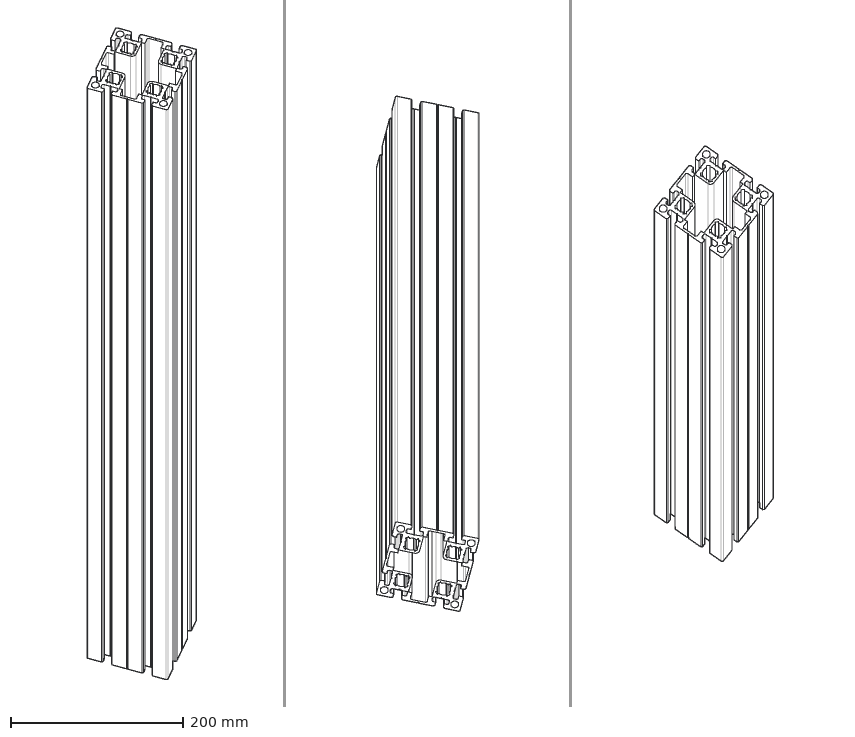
import cadquery as cq

side = 100.0
length = 1000.0
half = side / 2
corner_radius = 2.0

slot_offset = 25.0
slot_opening = 10.0
slot_width = 20.0
slot_depth = 12.0
lip_thickness = 6.0
lip_edge_chamfer = 1.5
slot_corner_radius = 2.0

side_mark_width = 2.0
side_mark_depth = 1.0
floor_mark_width = 1.0
floor_mark_depth = 1.0

bore_diameter = 16.0
relief_width = 4.0
relief_length = 20.0

cavity_half_width = 14.0
arm_half_width = 10.0
outer_wall = 3.0
core_edge_radius = 5.0
arm_end_radius = 2.0

channel_diameter = 9.0
channel_offset = 42.0

slot_floor = half - slot_depth


def prism(outline):
    return outline.extrude(length)


def polygon(points):
    return prism(cq.Workplane("XY").polyline(points).close())


def block(x_size, y_size):
    return prism(cq.Workplane("XY").rect(x_size, y_size))


def on_all_sides(cutter):
    """Repeat a cutter around the axis of the profile, once for each side."""
    ring = cutter
    for quarter in range(1, 4):
        ring = ring.union(cutter.rotate((0, 0, 0), (0, 0, 1), 90 * quarter))
    return ring


def v_groove(x, y, width, depth):
    """V groove running along Z, sunk from a surface at height y."""
    return polygon([(x - width / 2, y), (x, y - depth), (x + width / 2, y)])


def t_slot(x):
    roof = half - lip_thickness
    mouth = slot_opening / 2
    flare = mouth + lip_edge_chamfer
    undercut = block(slot_width, roof - slot_floor).edges("|Z").fillet(slot_corner_radius)
    undercut = undercut.translate((x, (roof + slot_floor) / 2, 0))
    right = [(flare, half), (mouth, half - lip_edge_chamfer), (mouth, slot_floor + slot_corner_radius)]
    left = [(-dx, y) for dx, y in reversed(right)]
    opening = polygon([(x + dx, y) for dx, y in right + left])
    return undercut.union(opening).union(v_groove(x, slot_floor, floor_mark_width, floor_mark_depth))


def central_cavity():
    """Cross between the four cores, with narrower ends that reach behind the slot webs."""
    wide = 2 * cavity_half_width
    cross = block(wide, 2 * slot_floor).union(block(2 * slot_floor, wide))
    near_axis = cq.selectors.BoxSelector((-wide, -wide, 0), (wide, wide, length))
    cross = cross.edges("|Z").edges(near_axis).fillet(core_edge_radius)
    end = block(2 * arm_half_width, 2 * (half - outer_wall)).edges("|Z").fillet(arm_end_radius)
    return cross.union(end).union(end.rotate((0, 0, 0), (0, 0, 1), 90))


def screw_bore():
    bore = prism(cq.Workplane("XY").circle(bore_diameter / 2))
    for angle in (45, 135):
        relief = block(relief_length, relief_width).rotate((0, 0, 0), (0, 0, 1), angle)
        bore = bore.union(relief)
    return bore.translate((slot_offset, slot_offset, 0))


def corner_channel():
    hole = prism(cq.Workplane("XY").circle(channel_diameter / 2))
    return hole.translate((channel_offset, channel_offset, 0))


body = block(side, side).edges("|Z").fillet(corner_radius)
for position in (-slot_offset, slot_offset):
    body = body.cut(on_all_sides(t_slot(position)))
body = body.cut(on_all_sides(v_groove(0, half, side_mark_width, side_mark_depth)))
body = body.cut(central_cavity())
body = body.cut(on_all_sides(screw_bore()))
body = body.cut(on_all_sides(corner_channel()))

result = body